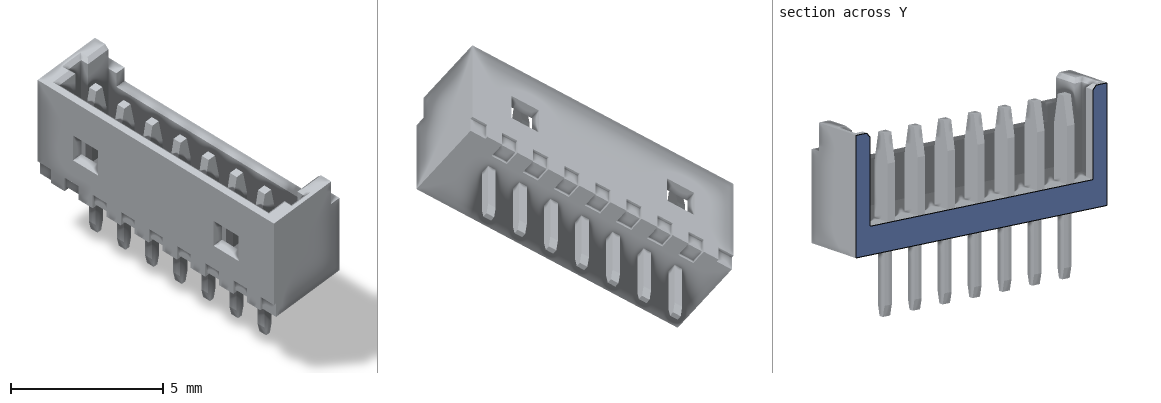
import cadquery as cq


length = 10.5
depth = 3.2
height = 4.2

pin_count = 7
pitch = 1.25
pin_y = 1.2
pin_width = 0.3
tail_thickness = 0.36
tail_length = 2.3
tail_tip_thickness = 0.18
tail_tip_length = 0.4
contact_thickness = 0.69
contact_tip_thickness = 0.3
contact_tip_length = 1.0
contact_top = height - 0.21

floor_height = 1.0
end_wall = 0.6
front_wall = 0.41
rear_wall = 0.4
lead_in = 0.15

slot_wall = 0.29
slot_front = 1.19
slot_width = 0.62

corner_drop = 1.0
corner_length = 0.96
rear_drop = 1.6

window_size = 1.1
window_top = height - 1.5
window_x = (pin_count / 2 - 1) * pitch

notch_width = 0.61
notch_height = 0.6
notch_depth = 0.1
corner_notch_length = 0.6
groove_height = 0.12
groove_length = 0.6

pin_positions = [(i - (pin_count - 1) / 2) * pitch for i in range(pin_count)]
cavity_rear = depth - rear_wall


def block(x_min, x_max, y_min, y_max, z_min, z_max):
    """Axis-aligned box between the given limits."""
    size = (x_max - x_min, y_max - y_min, z_max - z_min)
    return cq.Workplane("XY").box(*size, centered=False).translate((x_min, y_min, z_min))


def cavity_outline(growth):
    """Cavity corner points; growth moves every edge outwards except the rear one."""
    wall_x = length / 2 - end_wall + growth
    slot_x = length / 2 - slot_wall + growth
    slot_near = slot_front - growth
    slot_far = slot_front + slot_width + growth
    right_half = [
        (wall_x, front_wall - growth),
        (wall_x, slot_near),
        (slot_x, slot_near),
        (slot_x, slot_far),
        (wall_x, slot_far),
        (wall_x, cavity_rear),
    ]
    return right_half + [(-x, y) for x, y in reversed(right_half)]


def cut_cavity(body):
    """Cavity with the side slots and a sloped lead-in round its mouth."""
    cavity = (
        cq.Workplane("XY", origin=(0, 0, floor_height))
        .polyline(cavity_outline(0))
        .close()
        .extrude(height - floor_height)
    )
    mouth = (
        cq.Workplane("XY", origin=(0, 0, height - lead_in))
        .polyline(cavity_outline(0))
        .close()
        .workplane(offset=lead_in)
        .polyline(cavity_outline(lead_in))
        .close()
        .loft(ruled=True)
    )
    return body.cut(cavity).cut(mouth)


def cut_rear_wall(body):
    """Lower the rear wall, leaving a taller stretch at each corner."""
    gap_x = length / 2 - corner_length
    corners = block(-length / 2, length / 2, cavity_rear, depth, height - corner_drop, height)
    middle = block(-gap_x, gap_x, cavity_rear, depth, height - rear_drop, height)
    return body.cut(corners).cut(middle)


def cut_windows(body):
    """Two square windows through the front wall."""
    for x in (-window_x, window_x):
        half = window_size / 2
        body = body.cut(block(x - half, x + half, 0, front_wall, window_top - window_size, window_top))
    return body


def cut_notches(body):
    """Front notches at each pin and both corners, with a short groove in front of each pin."""
    for x in pin_positions:
        x_min = x - notch_width / 2
        x_max = x + notch_width / 2
        body = body.cut(block(x_min, x_max, 0, notch_depth, 0, notch_height))
        body = body.cut(block(x_min, x_max, 0, groove_length, 0, groove_height))
    corner_notch = block(-length / 2, corner_notch_length - length / 2, 0, notch_depth, 0, notch_height)
    return body.cut(corner_notch).cut(corner_notch.mirror("YZ"))


def make_pin(x):
    """Flat pin: a wide contact above the cavity floor and a narrow tail below, both tapered."""
    shoulder = contact_top - contact_tip_length
    right_half = [
        (tail_tip_thickness / 2, -tail_length),
        (tail_thickness / 2, tail_tip_length - tail_length),
        (tail_thickness / 2, floor_height),
        (contact_thickness / 2, floor_height),
        (contact_thickness / 2, shoulder),
        (contact_tip_thickness / 2, contact_top),
    ]
    profile = right_half + [(-y, z) for y, z in reversed(right_half)]
    return (
        cq.Workplane("YZ", origin=(x, pin_y, 0))
        .polyline(profile)
        .close()
        .extrude(pin_width / 2, both=True)
    )


housing = block(-length / 2, length / 2, 0, depth, 0, height)
housing = cut_cavity(housing)
housing = cut_rear_wall(housing)
housing = cut_windows(housing)
housing = cut_notches(housing)

result = housing
for pin_x in pin_positions:
    result = result.union(make_pin(pin_x))